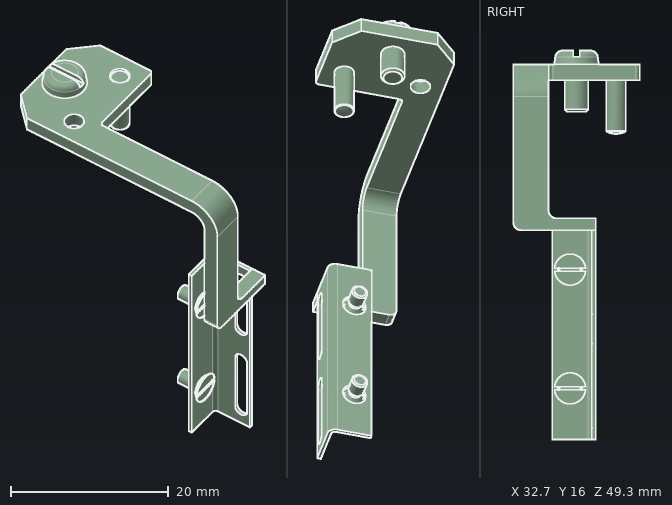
import cadquery as cq


bracket_length = 32.7
plate_depth = 16.0
plate_width = 11.3
plate_thickness = 2.0
arm_depth = 4.5
plate_chamfer_x = 3.1
plate_chamfer_y = 3.0
plate_corner_radius = 0.5
bend_inner_radius = 2.0
bend_outer_radius = bend_inner_radius + plate_thickness
leg_bottom = -21.0
foot_height = 1.55
foot_top = leg_bottom + foot_height
foot_end = 10.45
foot_radius = 1.0
leg_inner_face = bracket_length - plate_thickness

pin_diameter = 2.5
pin_hole_x = 8.3
pin_hole_margin = 3.0
screw_x = 3.25
screw_y = plate_depth / 2

screw_shank_diameter = 3.0
screw_tip = -6.0
screw_tip_chamfer = 0.32
head_height = 1.77
head_base_diameter = 5.7
head_rim_diameter = 5.4
head_rim_height = 1.0
head_top_diameter = 3.4
head_slot_width = 0.8
head_slot_depth = 0.8

pin_length = 8.82
pin_dome_height = 0.3
pin_chamfer = 0.1

sheet_thickness = 0.5
sheet_outer_radius = 1.0
sheet_inner_radius = sheet_outer_radius - sheet_thickness
overall_height = 49.3
sheet_height = overall_height - head_height + foot_top
sheet_bottom = foot_top - sheet_height
sheet_left = 24.7
sheet_front = 4.95
sheet_slot_x = 29.3
sheet_slot_width = 1.8
sheet_slot_length = 10.65
sheet_slot_margin = 1.55

stud_y = 7.2
stud_margin = 6.5
stud_heights = [sheet_bottom + stud_margin, foot_top - stud_margin]
stud_tip = 21.95
stud_diameter = 2.0
stud_tip_chamfer_length = 0.15
stud_tip_chamfer_depth = 0.25
stud_barrel_length = 1.9
stud_barrel_end = stud_tip + stud_barrel_length
stud_neck_diameter = 1.55
stud_hole_diameter = 3.0
stud_head_diameter = 3.95
stud_slot_width = 0.4
stud_slot_depth = 0.75
stud_rim_height = 0.1
sheet_inner_face = sheet_left + sheet_thickness
stud_cone_start = sheet_inner_face - (stud_hole_diameter - stud_neck_diameter) / 2
stud_cone_end = sheet_inner_face + (stud_head_diameter - stud_hole_diameter) / 2
stud_head_end = stud_cone_end + stud_rim_height


def make_bracket():
    strip = (
        cq.Workplane("XZ")
        .lineTo(bracket_length - bend_outer_radius, 0)
        .radiusArc((bracket_length, -bend_outer_radius), bend_outer_radius)
        .lineTo(bracket_length, leg_bottom)
        .lineTo(leg_inner_face, leg_bottom)
        .lineTo(leg_inner_face, -bend_outer_radius)
        .radiusArc((bracket_length - bend_outer_radius, -plate_thickness), -bend_inner_radius)
        .lineTo(0, -plate_thickness)
        .close()
        .extrude(-plate_depth)
    )
    plan = (
        cq.Workplane("XY")
        .moveTo(plate_chamfer_x, 0)
        .lineTo(bracket_length, 0)
        .lineTo(bracket_length, arm_depth)
        .lineTo(plate_width, arm_depth)
        .lineTo(plate_width, plate_depth)
        .lineTo(plate_chamfer_x, plate_depth)
        .lineTo(0, plate_depth - plate_chamfer_y)
        .lineTo(0, plate_chamfer_y)
        .close()
        .extrude(leg_bottom)
    )
    for corner_y in (arm_depth, plate_depth):
        corner = cq.selectors.NearestToPointSelector((plate_width, corner_y, leg_bottom / 2))
        plan = plan.edges(corner).fillet(plate_corner_radius)
    leg = (
        cq.Workplane("YZ", origin=(leg_inner_face, 0, 0))
        .moveTo(0, -bend_outer_radius)
        .lineTo(0, leg_bottom + foot_radius)
        .radiusArc((foot_radius, leg_bottom), -foot_radius)
        .lineTo(foot_end, leg_bottom)
        .lineTo(foot_end, foot_top)
        .lineTo(arm_depth + foot_radius, foot_top)
        .radiusArc((arm_depth, foot_top + foot_radius), foot_radius)
        .lineTo(arm_depth, -bend_outer_radius)
        .close()
        .extrude(plate_thickness)
    )
    below_bend = (
        cq.Workplane("XY", origin=(0, 0, leg_bottom))
        .box(bracket_length, plate_depth, -bend_outer_radius - leg_bottom, centered=False)
    )
    bracket = strip.intersect(plan).cut(below_bend).union(leg)

    pin_holes = (
        cq.Workplane("XY")
        .pushPoints([(pin_hole_x, pin_hole_margin), (pin_hole_x, plate_depth - pin_hole_margin)])
        .circle(pin_diameter / 2)
        .extrude(-plate_thickness)
    )
    screw_hole = (
        cq.Workplane("XY")
        .center(screw_x, screw_y)
        .circle(screw_shank_diameter / 2)
        .extrude(-plate_thickness)
    )
    return bracket.cut(pin_holes).cut(screw_hole)


def make_screw():
    shank_radius = screw_shank_diameter / 2
    top_radius = head_top_diameter / 2
    rim_radius = head_rim_diameter / 2
    run = rim_radius - top_radius
    drop = head_height - head_rim_height
    crown_radius = (run ** 2 + drop ** 2) / (2 * drop)
    profile = (
        cq.Workplane("XZ")
        .moveTo(0, screw_tip)
        .lineTo(shank_radius - screw_tip_chamfer, screw_tip)
        .lineTo(shank_radius, screw_tip + screw_tip_chamfer)
        .lineTo(shank_radius, 0)
        .lineTo(head_base_diameter / 2, 0)
        .lineTo(rim_radius, head_rim_height)
        .radiusArc((top_radius, head_height), -crown_radius)
        .lineTo(0, head_height)
        .close()
    )
    slot = cq.Workplane("XY", origin=(0, 0, head_height)).rect(
        head_base_diameter, head_slot_width
    ).extrude(-head_slot_depth)
    screw = profile.revolve(360, (0, 0), (0, 1)).cut(slot)
    return screw.translate((screw_x, screw_y, 0))


def make_pin():
    radius = pin_diameter / 2
    dome_edge = radius - pin_chamfer
    barrel_inset = pin_dome_height + pin_chamfer
    dome_radius = (dome_edge ** 2 + pin_dome_height ** 2) / (2 * pin_dome_height)
    pin = (
        cq.Workplane("XZ")
        .moveTo(0, -pin_length)
        .radiusArc((dome_edge, pin_dome_height - pin_length), -dome_radius)
        .lineTo(radius, barrel_inset - pin_length)
        .lineTo(radius, -barrel_inset)
        .lineTo(dome_edge, -pin_dome_height)
        .radiusArc((0, 0), -dome_radius)
        .close()
        .revolve(360, (0, 0), (0, 1))
    )
    return pin.translate((pin_hole_x, plate_depth - pin_hole_margin, 0))


def make_sheet_angle():
    angle = (
        cq.Workplane("XY", origin=(0, 0, sheet_bottom))
        .moveTo(sheet_left, sheet_front)
        .lineTo(sheet_left, foot_end - sheet_outer_radius)
        .radiusArc((sheet_left + sheet_outer_radius, foot_end), sheet_outer_radius)
        .lineTo(leg_inner_face, foot_end)
        .lineTo(leg_inner_face, foot_end - sheet_thickness)
        .lineTo(sheet_left + sheet_outer_radius, foot_end - sheet_thickness)
        .radiusArc((sheet_inner_face, foot_end - sheet_outer_radius), -sheet_inner_radius)
        .lineTo(sheet_inner_face, sheet_front)
        .close()
        .extrude(sheet_height)
    )
    slot_offset = sheet_slot_margin + sheet_slot_length / 2
    slots = (
        cq.Workplane("XZ", origin=(0, foot_end, 0))
        .pushPoints([(sheet_slot_x, sheet_bottom + slot_offset), (sheet_slot_x, foot_top - slot_offset)])
        .slot2D(sheet_slot_length, sheet_slot_width, 90)
        .extrude(sheet_thickness)
    )
    stud_holes = (
        cq.Workplane("YZ", origin=(sheet_left, 0, 0))
        .pushPoints([(stud_y, height) for height in stud_heights])
        .circle(stud_hole_diameter / 2)
        .extrude(sheet_thickness)
    )
    return angle.cut(slots).cut(stud_holes)


def make_stud(height):
    radius = stud_diameter / 2
    neck_radius = stud_neck_diameter / 2
    profile = (
        cq.Workplane("XY")
        .moveTo(stud_tip, 0)
        .lineTo(stud_tip, radius - stud_tip_chamfer_depth)
        .lineTo(stud_tip + stud_tip_chamfer_length, radius)
        .lineTo(stud_barrel_end, radius)
        .lineTo(stud_barrel_end, neck_radius)
        .lineTo(stud_cone_start, neck_radius)
        .lineTo(stud_cone_end, stud_head_diameter / 2)
        .lineTo(stud_head_end, stud_head_diameter / 2)
        .lineTo(stud_head_end, 0)
        .close()
    )
    slot = cq.Workplane("YZ", origin=(stud_head_end, 0, 0)).rect(
        stud_head_diameter, stud_slot_width
    ).extrude(-stud_slot_depth)
    stud = profile.revolve(360, (0, 0), (1, 0)).cut(slot)
    return stud.translate((0, stud_y, height))


bracket = make_bracket()
screw = make_screw()
pin = make_pin()
sheet_angle = make_sheet_angle()
studs = [make_stud(height) for height in stud_heights]

result = cq.Compound.makeCompound(
    [bracket.val(), screw.val(), pin.val(), sheet_angle.val(), *[stud.val() for stud in studs]]
)